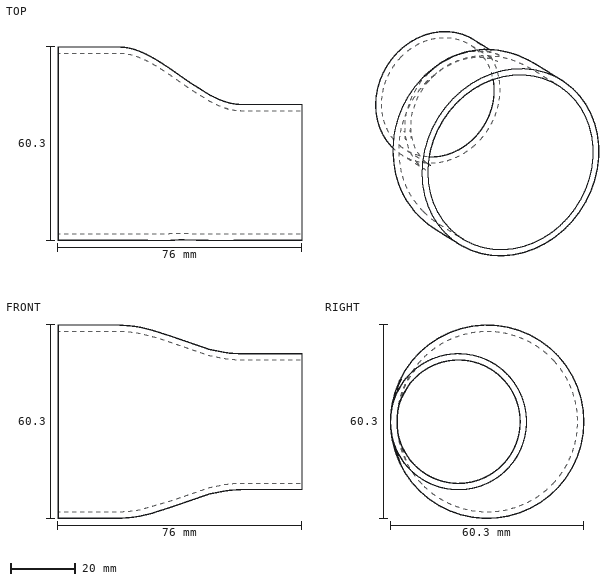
import cadquery as cq

large_diameter = 60.3
small_diameter = 42.4
wall = 2.0
total_length = 76.0
end_length = total_length / 4
transition_length = total_length - 2 * end_length
section_count = 13

large_radius = large_diameter / 2
small_radius = small_diameter / 2


def ease(t):
    """S-curve from 0 to 1 with zero slope at both ends."""
    return t * t * (3 - 2 * t)


def pipe_circle(x, outer_radius, inset):
    """Circle across X, flush with the large pipe on -Y and shrunk by the inset."""
    center_y = outer_radius - large_radius
    plane = cq.Plane(origin=(x, center_y, 0), xDir=(0, 1, 0), normal=(1, 0, 0))
    return cq.Workplane(plane).circle(outer_radius - inset)


def transition(inset):
    """Smooth loft from the large pipe to the small pipe."""
    wires = []
    for i in range(section_count):
        t = i / (section_count - 1)
        radius = large_radius + (small_radius - large_radius) * ease(t)
        x = end_length + transition_length * t
        wires.append(pipe_circle(x, radius, inset).val())
    return cq.Workplane(cq.Solid.makeLoft(wires))


def reducer_body(inset):
    """Solid reducer whose surface lies the inset inside the outer skin."""
    large_end = pipe_circle(0, large_radius, inset).extrude(end_length)
    small_end = pipe_circle(total_length - end_length, small_radius, inset).extrude(end_length)
    return large_end.union(transition(inset)).union(small_end)


result = reducer_body(0).cut(reducer_body(wall))